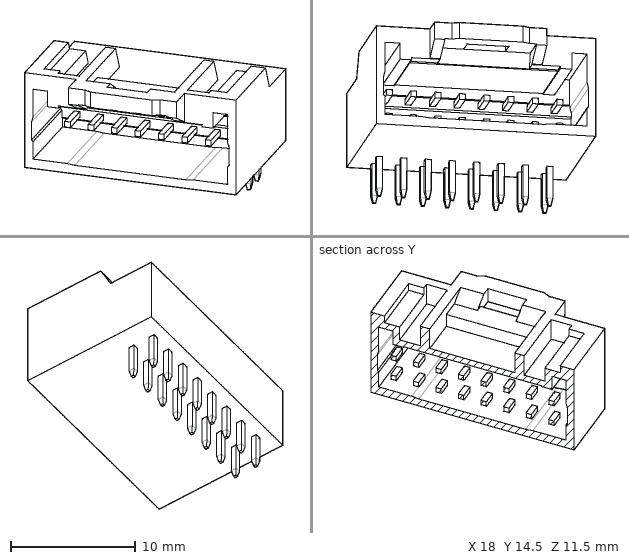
import cadquery as cq


body_width = 18.0
body_depth = 12.31
body_height = 8.25
deck_height = 6.25
slope_start = 4.07
slope_end = 5.04
channel_front = 11.54

arm_outer = 4.6
arm_inner = 3.76
arm_reach = 14.24
latch_reach = 14.5
bar_bottom = 6.9
arm_tip = 6.82
arm_root = 5.78
nose_root_half = 3.19
nose_tip_half = 2.61
platform_height = 7.45
platform_start = 9.54
platform_end = 11.07
window_half = 1.71
window_start = 11.66
window_end = 13.09
undercut_low_depth = 11.23
undercut_low = 5.67
undercut_high_depth = 11.66

recess_inner = 6.43
recess_outer = 7.78
recess_floor = 7.56
recess_front = 11.02

cavity_half = 8.28
cavity_back = 5.04
cavity_floor = 0.83
cavity_ceiling = 5.62
cavity_top = 6.9
keyway_inner = 7.05
lip_half = 6.1
lip_bottom = 5.55
lead_in_ceiling = 5.72
lead_in_back = 11.27
lead_in_run = 0.04
floor_relief = 0.07
relief_bottom_half = 4.73
relief_top_half = 5.36
side_groove = 0.13
groove_bottom = 2.34
groove_bottom_full = 2.48
groove_top_full = 4.03
groove_top = 4.5

pitch = 2.0
rows = 2
pins_per_row = 8
pin_size = 0.49
rear_row_depth = 1.26
lower_contact_height = 2.18
contact_reach = 7.56
pin_drop = 3.25
pin_taper = 0.6
pin_tip = 0.23
rib_height_root = 1.17
rib_height_top = 0.9
rib_projection = 0.16


def box(x_low, x_high, depth_back, depth_front, z_low, z_high):
    size = (x_high - x_low, depth_front - depth_back, z_high - z_low)
    return cq.Workplane("XY").box(*size, centered=False).translate((x_low, -depth_front, z_low))


def side_profile(points, x_low, x_high):
    """Extrude a (depth, Z) outline along X."""
    outline = [(-depth, z) for depth, z in points]
    return cq.Workplane("YZ", origin=(x_low, 0, 0)).polyline(outline).close().extrude(x_high - x_low)


def front_profile(points, depth_back, depth_front):
    """Extrude an (X, Z) outline from one depth to another."""
    plane = cq.Workplane("XZ", origin=(0, -depth_back, 0))
    return plane.polyline(points).close().extrude(depth_front - depth_back)


def both_sides(solid):
    return solid.union(solid.mirror("YZ"))


def housing():
    outline = [
        (0, 0),
        (body_depth, 0),
        (body_depth, body_height),
        (slope_end, body_height),
        (slope_start, deck_height),
        (0, deck_height),
    ]
    block = side_profile(outline, -body_width / 2, body_width / 2)
    centre_channel = box(-arm_inner, arm_inner, slope_start, body_depth, deck_height, body_height)
    side_channel = box(arm_outer, recess_inner, slope_start, channel_front, deck_height, body_height)
    recess = box(recess_inner, recess_outer, slope_start, recess_front, recess_floor, body_height)
    return block.cut(centre_channel).cut(both_sides(side_channel)).cut(both_sides(recess))


def latch():
    arm_outline = [
        (body_depth, body_height),
        (arm_reach, body_height),
        (arm_reach, arm_tip),
        (body_depth, arm_root),
    ]
    arms = both_sides(side_profile(arm_outline, arm_inner, arm_outer))
    bar_outline = [
        (platform_start, deck_height),
        (platform_start, platform_height),
        (platform_end, platform_height),
        (body_depth, body_height),
        (arm_reach, body_height),
        (arm_reach, bar_bottom),
        (window_start, bar_bottom),
        (window_start, deck_height),
    ]
    bar = side_profile(bar_outline, -arm_inner, arm_inner)
    nose_outline = [
        (-nose_root_half, -arm_reach),
        (nose_root_half, -arm_reach),
        (nose_tip_half, -latch_reach),
        (-nose_tip_half, -latch_reach),
    ]
    nose = (
        cq.Workplane("XY", origin=(0, 0, bar_bottom))
        .polyline(nose_outline)
        .close()
        .extrude(body_height - bar_bottom)
    )
    return arms.union(bar).union(nose)


def latch_openings():
    ramp_notch = box(-window_half, window_half, platform_end, window_end, platform_height, body_height)
    window = box(-window_half, window_half, window_start, window_end, lip_bottom, body_height)
    undercut_outline = [
        (undercut_low_depth, undercut_low),
        (undercut_high_depth, bar_bottom),
        (body_depth, bar_bottom),
        (body_depth, undercut_low),
    ]
    undercut = side_profile(undercut_outline, -arm_inner, arm_inner)
    return ramp_notch.union(window).union(undercut)


def cavity():
    half_outline = [
        (relief_bottom_half, cavity_floor - floor_relief),
        (relief_top_half, cavity_floor),
        (cavity_half, cavity_floor),
        (cavity_half, groove_bottom),
        (cavity_half + side_groove, groove_bottom_full),
        (cavity_half + side_groove, groove_top_full),
        (cavity_half, groove_top),
        (cavity_half, cavity_top),
        (keyway_inner, cavity_top),
        (keyway_inner, lip_bottom),
        (lip_half, lip_bottom),
        (lip_half, cavity_ceiling),
    ]
    mirrored = [(-x, z) for x, z in reversed(half_outline)]
    room = front_profile(half_outline + mirrored, cavity_back, body_depth)
    lead_in_outline = [
        (lead_in_back, cavity_ceiling),
        (lead_in_back + lead_in_run, lead_in_ceiling),
        (body_depth, lead_in_ceiling),
        (body_depth, cavity_ceiling),
    ]
    return room.union(side_profile(lead_in_outline, -lip_half, lip_half))


def contact_rib(z):
    """Tapered rib across the back wall of the cavity, around one row of contacts."""
    outline = [
        (cavity_back, z - rib_height_root / 2),
        (cavity_back + rib_projection, z - rib_height_top / 2),
        (cavity_back + rib_projection, z + rib_height_top / 2),
        (cavity_back, z + rib_height_root / 2),
    ]
    half_width = cavity_half + side_groove
    return side_profile(outline, -half_width, half_width)


def contact(x, row_depth, z):
    """One contact: a straight blade in the cavity and a solder pin with a tapered tip."""
    half = pin_size / 2
    blade = box(x - half, x + half, cavity_back, contact_reach, z - half, z + half)
    straight_drop = pin_drop - pin_taper
    shank = box(x - half, x + half, row_depth - half, row_depth + half, -straight_drop, 0)
    tip = (
        cq.Workplane("XY", origin=(x, -row_depth, -straight_drop))
        .rect(pin_size, pin_size)
        .workplane(offset=-pin_taper)
        .rect(pin_tip, pin_tip)
        .loft()
    )
    return blade.union(shank).union(tip)


result = housing().union(latch()).cut(cavity()).cut(latch_openings())
for row in range(rows):
    contact_z = lower_contact_height + (rows - 1 - row) * pitch
    result = result.union(contact_rib(contact_z))
    for column in range(pins_per_row):
        contact_x = (column - (pins_per_row - 1) / 2) * pitch
        result = result.union(contact(contact_x, rear_row_depth + row * pitch, contact_z))